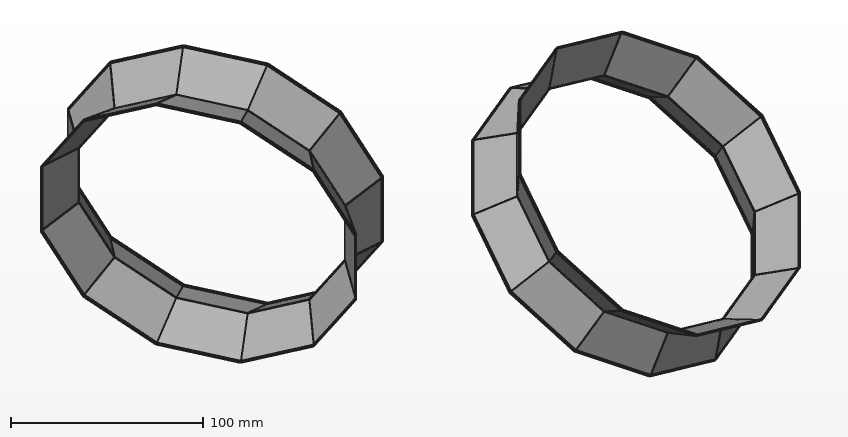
import cadquery as cq
import math

side_count = 12
rim_across_flats = 171.5
waist_across_flats = 145.7
ring_width = 47.4
rim_land = 1.2
wall = 0.5

half_width = ring_width / 2
slope_end = half_width - rim_land


def twelve_sided_plane(across_flats, y):
    """Sketch a polygon with flats facing +/-X and +/-Z, centred on the Y axis."""
    corner_diameter = across_flats / math.cos(math.pi / side_count)
    half_side_angle = 180 / side_count
    return (
        cq.Workplane("XZ", origin=(0, y, 0))
        .transformed(rotate=(0, 0, half_side_angle))
        .polygon(side_count, corner_diameter)
    )


def frustum(start_flats, start_y, end_flats, end_y):
    """Solid between two parallel polygons on the ring axis."""
    start_wire = twelve_sided_plane(start_flats, start_y).wires().val()
    end_wire = twelve_sided_plane(end_flats, end_y).wires().val()
    return cq.Workplane(cq.Solid.makeLoft([start_wire, end_wire], True))


def waisted_body(rim_flats, waist_flats):
    """Solid that narrows from a straight band at each rim to a sharp waist."""
    body = frustum(rim_flats, -half_width, rim_flats, -slope_end)
    body = body.union(frustum(rim_flats, -slope_end, waist_flats, 0))
    body = body.union(frustum(waist_flats, 0, rim_flats, slope_end))
    return body.union(frustum(rim_flats, slope_end, rim_flats, half_width))


outer = waisted_body(rim_across_flats, waist_across_flats)
inner = waisted_body(rim_across_flats - 2 * wall, waist_across_flats - 2 * wall)
result = outer.cut(inner)